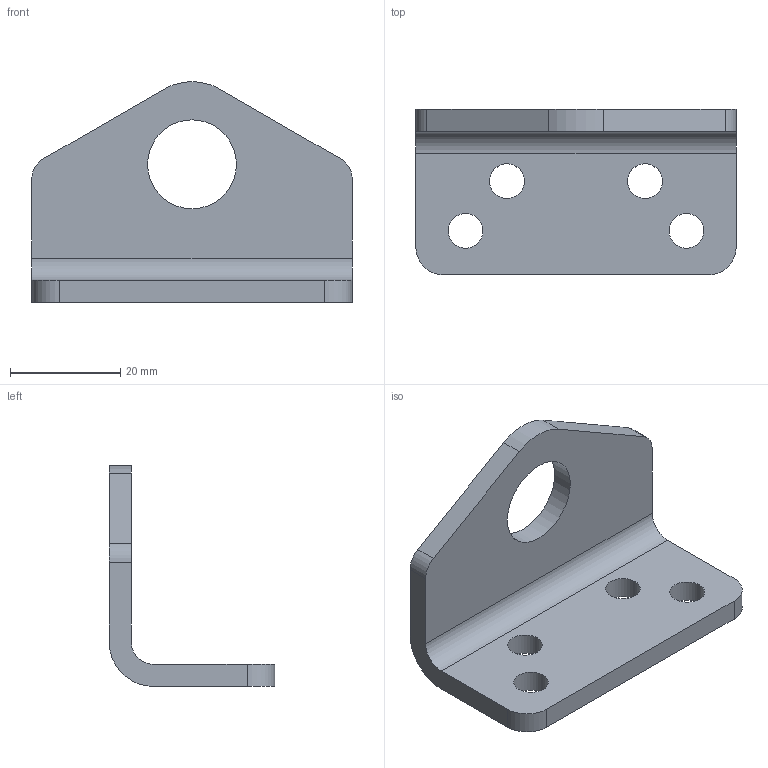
import cadquery as cq
import math

width = 58.0
depth = 29.98
height = 39.98
thickness = 4.0

inner_bend_radius = 4.0
outer_bend_radius = inner_bend_radius + thickness

top_radius = 10.0
shoulder_radius = 4.0
slope_angle = math.radians(30.0)

bore_diameter = 16.1
bore_height = 25.0
mount_hole_diameter = 6.3
mount_hole_places = [(12.5, 13.0), (20.0, 22.0)]

base_corner_radius = 5.0

half_width = width / 2


def bent_strip():
    """L-shaped strip of constant thickness, bent along X."""
    bend_diagonal = math.cos(math.pi / 4)
    outer_mid = outer_bend_radius * bend_diagonal
    inner_mid = inner_bend_radius * bend_diagonal
    bend_centre = outer_bend_radius
    profile = (
        cq.Workplane("YZ", origin=(-half_width, 0, 0))
        .moveTo(0, height)
        .lineTo(0, bend_centre)
        .threePointArc((outer_mid - bend_centre, bend_centre - outer_mid), (-bend_centre, 0))
        .lineTo(-depth, 0)
        .lineTo(-depth, thickness)
        .lineTo(-bend_centre, thickness)
        .threePointArc((inner_mid - bend_centre, bend_centre - inner_mid), (-thickness, bend_centre))
        .lineTo(-thickness, height)
        .close()
    )
    return profile.extrude(width)


def upright_outline():
    """Prism along Y with the sloped, rounded outline of the upright plate."""
    top_centre_z = height - top_radius
    top_tangent_x = top_radius * math.sin(slope_angle)
    top_tangent_z = top_centre_z + top_radius * math.cos(slope_angle)

    shoulder_centre_x = half_width - shoulder_radius
    shoulder_tangent_x = shoulder_centre_x + shoulder_radius * math.sin(slope_angle)
    slope_drop = (shoulder_tangent_x - top_tangent_x) * math.tan(slope_angle)
    shoulder_tangent_z = top_tangent_z - slope_drop
    shoulder_centre_z = shoulder_tangent_z - shoulder_radius * math.cos(slope_angle)

    middle_angle = (math.pi / 2 - slope_angle) / 2
    shoulder_mid_x = shoulder_centre_x + shoulder_radius * math.cos(middle_angle)
    shoulder_mid_z = shoulder_centre_z + shoulder_radius * math.sin(middle_angle)

    return (
        cq.Workplane("XZ")
        .moveTo(-half_width, 0)
        .lineTo(half_width, 0)
        .lineTo(half_width, shoulder_centre_z)
        .threePointArc((shoulder_mid_x, shoulder_mid_z), (shoulder_tangent_x, shoulder_tangent_z))
        .lineTo(top_tangent_x, top_tangent_z)
        .threePointArc((0, height), (-top_tangent_x, top_tangent_z))
        .lineTo(-shoulder_tangent_x, shoulder_tangent_z)
        .threePointArc((-shoulder_mid_x, shoulder_mid_z), (-half_width, shoulder_centre_z))
        .close()
        .extrude(depth)
    )


def round_base_corners(body):
    """Round the two free corners of the base flange."""
    return body.faces("<Y").edges("|Z").fillet(base_corner_radius)


def bore():
    """Cutter for the large hole through the upright plate."""
    return cq.Workplane("XZ").center(0, bore_height).circle(bore_diameter / 2).extrude(thickness)


def mount_holes():
    """Cutters for the mirrored pairs of holes through the base flange."""
    centres = [(side * x, -y) for x, y in mount_hole_places for side in (-1, 1)]
    return cq.Workplane("XY").pushPoints(centres).circle(mount_hole_diameter / 2).extrude(thickness)


bracket = bent_strip().intersect(upright_outline())
bracket = round_base_corners(bracket)
result = bracket.cut(bore()).cut(mount_holes())